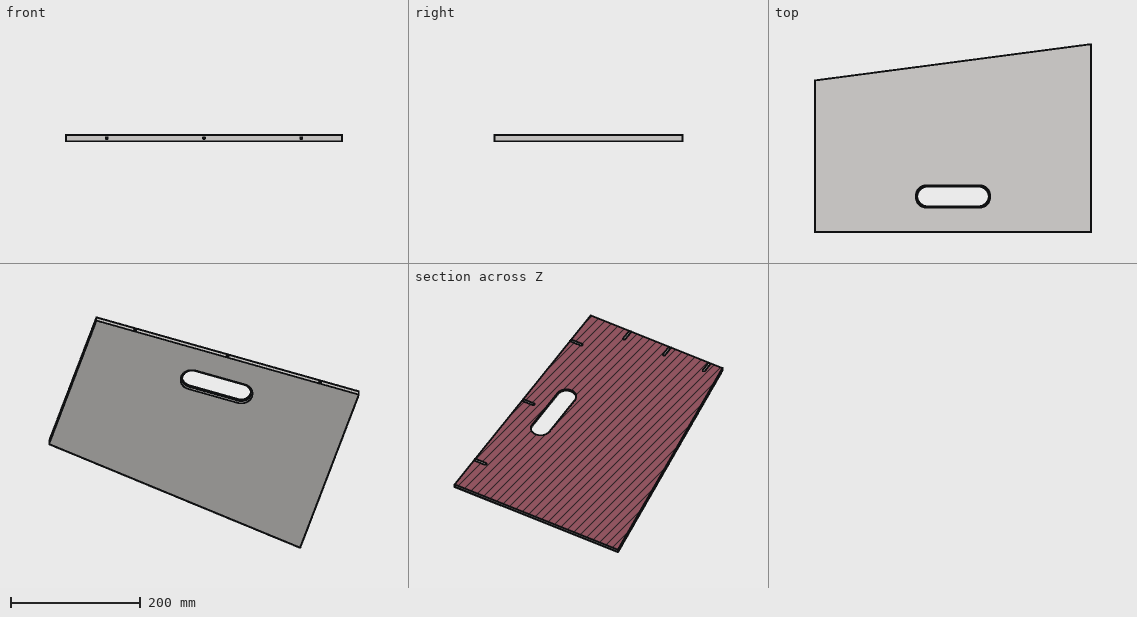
import cadquery as cq
import math

WIDTH = 426.0
DEPTH_RIGHT = 290.0
DEPTH_LEFT = 234.0
THICKNESS = 10.0

SLOT_LENGTH = 110.0
SLOT_WIDTH = 30.0
SLOT_CENTER_X = WIDTH / 2
SLOT_CENTER_Y = 55.0
RIM_CHAMFER = 2.5
CHAMFER_ANGLE = 45.0

HOLE_DIAMETER = 3.3
HOLE_DEPTH = 20.0
DRILL_POINT_ANGLE = 118.0
HOLES_PER_EDGE = 3
FRONT_HOLE_SPACING = 150.0
FRONT_HOLE_CENTER_X = WIDTH / 2
LEFT_HOLE_SPACING = 70.5
LEFT_HOLE_CENTER_Y = 2 * LEFT_HOLE_SPACING


def make_panel():
    """Flat panel with its front left bottom corner at the origin."""
    corners = [(0, 0), (WIDTH, 0), (WIDTH, DEPTH_RIGHT), (0, DEPTH_LEFT)]
    return cq.Workplane("XY").polyline(corners).close().extrude(THICKNESS)


def make_rim_flare(face_z, depth):
    """Tapered slot, widest at the given face and narrowing to the slot size."""
    return (
        cq.Workplane("XY", origin=(SLOT_CENTER_X, SLOT_CENTER_Y, face_z))
        .slot2D(SLOT_LENGTH + 2 * RIM_CHAMFER, SLOT_WIDTH + 2 * RIM_CHAMFER)
        .extrude(depth, taper=CHAMFER_ANGLE)
    )


def make_slot_cutter():
    """Round-ended through slot that flares outward at both faces."""
    through_slot = (
        cq.Workplane("XY", origin=(SLOT_CENTER_X, SLOT_CENTER_Y, 0))
        .slot2D(SLOT_LENGTH, SLOT_WIDTH)
        .extrude(THICKNESS)
    )
    bottom_flare = make_rim_flare(0, RIM_CHAMFER)
    top_flare = make_rim_flare(THICKNESS, -RIM_CHAMFER)
    return through_slot.union(bottom_flare).union(top_flare)


def row_positions(center, spacing):
    """Evenly spaced hole positions along an edge, balanced about the center."""
    middle = (HOLES_PER_EDGE - 1) / 2
    return [center + (i - middle) * spacing for i in range(HOLES_PER_EDGE)]


def make_edge_hole(x, y, direction):
    """Blind hole with a conical drill point, running from an edge point into the panel."""
    radius = HOLE_DIAMETER / 2
    point_length = radius / math.tan(math.radians(DRILL_POINT_ANGLE / 2))
    axis = cq.Vector(*direction)
    start = cq.Vector(x, y, THICKNESS / 2)
    bore = cq.Solid.makeCylinder(radius, HOLE_DEPTH, start, axis)
    point = cq.Solid.makeCone(radius, 0, point_length, start + axis * HOLE_DEPTH, axis)
    return bore.fuse(point)


result = make_panel().cut(make_slot_cutter())
for hole_x in row_positions(FRONT_HOLE_CENTER_X, FRONT_HOLE_SPACING):
    result = result.cut(make_edge_hole(hole_x, 0, (0, 1, 0)))
for hole_y in row_positions(LEFT_HOLE_CENTER_Y, LEFT_HOLE_SPACING):
    result = result.cut(make_edge_hole(0, hole_y, (1, 0, 0)))